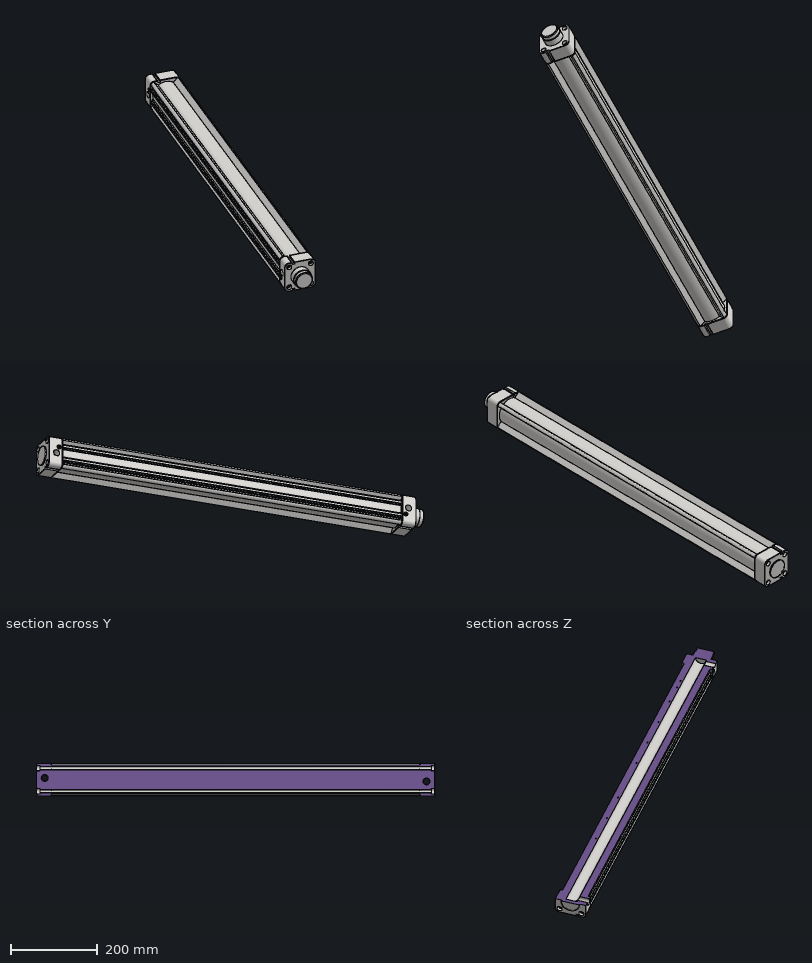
import cadquery as cq
import math

overall_length = 952.0
boss_height = 3.0
cap_length = 33.5
seal_length = 1.5
nose_length = 27.8

first_cap_start = boss_height
last_cap_end = overall_length - nose_length
cap_span = last_cap_end - first_cap_start
last_cap_start = last_cap_end - cap_length
first_cap_end = first_cap_start + cap_length
tube_start = first_cap_end + seal_length
tube_end = last_cap_start - seal_length

section_size = 76.0
half_section = section_size / 2
corner_radius = 10.8
cap_chamfer = 0.8
corner_center = half_section - corner_radius

barrel_radius = 32.0
post_tip_offset = 30.1
flank_foot_offset = 18.6

rail_centre = 15.8
rail_lip_width = 5.8
rail_lip_offset = 37.3
rail_shoulder_width = 11.6
rail_shoulder_offset = 34.0
rail_root_offset = 25.0

seal_inset = 1.0

notch_inner_wall = -13.2
notch_width = 5.4
notch_depth = 5.0
notch_chamfer = 2.4

screw_offset = 26.7
screw_diameter = 6.6
screw_head_diameter = 12.0
screw_head_depth = 8.0

port_diameter = 15.0
port_from_cap_end = 19.2
port_height = 4.0
cushion_diameter = 9.0
cushion_depth = 3.0
cushion_socket_diameter = 4.5
cushion_socket_depth = 6.0
cushion_from_cap_end = 25.5
cushion_height = 12.0

bore_diameter = 26.0
bore_end_wall = 8.0

boss_diameter = 45.0
collar_length = 17.0
collar_chamfer = 1.0
nose_diameter = 42.4
nose_chamfer = 2.0


def section_plane(x):
    """Sketch plane at the given X whose local axes are Y and Z."""
    return cq.Workplane("YZ", origin=(x, 0, 0))


def rounded_block(x_start, length, size, radius):
    block = section_plane(x_start).rect(size, size).extrude(length)
    return block.edges("|X").fillet(radius)


def flank_groove():
    """Full-length V-flanked groove above the barrel on the +Z side."""
    tip_height = corner_center + math.sqrt(corner_radius**2 - (post_tip_offset - corner_center) ** 2)
    foot_height = tip_height - (post_tip_offset - flank_foot_offset)
    mouth_offset = post_tip_offset + half_section - tip_height
    return (
        section_plane(tube_start)
        .moveTo(-mouth_offset, half_section)
        .lineTo(-flank_foot_offset, foot_height)
        .lineTo(flank_foot_offset, foot_height)
        .lineTo(mouth_offset, half_section)
        .close()
        .extrude(tube_end - tube_start)
    )


def rail_bar(height, width, face_offset):
    """Rectangular bar along the tube whose front face lies face_offset from the axis."""
    depth = face_offset - rail_root_offset
    bar_center = -(face_offset + rail_root_offset) / 2
    bar = section_plane(tube_start).center(bar_center, height).rect(depth, width)
    return bar.extrude(tube_end - tube_start)


def sensor_rail(height):
    """Stepped rail: a wide shoulder carrying a narrower flat lip toward -Y."""
    shoulder = rail_bar(height, rail_shoulder_width, rail_shoulder_offset)
    lip = rail_bar(height, rail_lip_width, rail_lip_offset)
    return shoulder.union(lip)


def profiled_tube():
    length = tube_end - tube_start
    tube = rounded_block(tube_start, length, section_size, corner_radius)
    groove = flank_groove()
    for quarter_turn in range(4):
        tube = tube.cut(groove.rotate((0, 0, 0), (1, 0, 0), 90 * quarter_turn))
    tube = tube.union(section_plane(tube_start).circle(barrel_radius).extrude(length))
    for side in (-1, 1):
        tube = tube.union(sensor_rail(side * rail_centre))
    return tube


def seal(x_start):
    return rounded_block(x_start, seal_length, section_size - 2 * seal_inset, corner_radius - seal_inset)


def cable_notch(side):
    """Flat-floored notch through both caps, chamfered along the edge nearer the front."""
    outer_wall = notch_inner_wall - notch_width
    floor = side * (half_section - notch_depth)
    mouth = side * half_section
    return (
        section_plane(first_cap_start)
        .moveTo(notch_inner_wall, mouth)
        .lineTo(notch_inner_wall, floor)
        .lineTo(outer_wall, floor)
        .lineTo(outer_wall, mouth - side * notch_chamfer)
        .lineTo(outer_wall - notch_chamfer, mouth)
        .close()
        .extrude(cap_span)
    )


def front_bore(x, height, diameter, depth):
    """Blind bore running from the -Y face toward +Y."""
    start = cq.Vector(x, -half_section, height)
    return cq.Workplane(cq.Solid.makeCylinder(diameter / 2, depth, start, cq.Vector(0, 1, 0)))


def central_bore():
    bore_length = cap_span - 2 * bore_end_wall
    return section_plane(first_cap_start + bore_end_wall).circle(bore_diameter / 2).extrude(bore_length)


def cut_front_bores(body):
    for outer_face, inward in ((first_cap_start, 1), (last_cap_end, -1)):
        port_x = outer_face + inward * port_from_cap_end
        cushion_x = outer_face + inward * cushion_from_cap_end
        body = body.cut(front_bore(port_x, -inward * port_height, port_diameter, half_section))
        cushion_z = inward * cushion_height
        body = body.cut(front_bore(cushion_x, cushion_z, cushion_diameter, cushion_depth))
        body = body.cut(front_bore(cushion_x, cushion_z, cushion_socket_diameter, cushion_socket_depth))
    return body


def cut_screw_holes(body):
    pitch = 2 * screw_offset
    holes = section_plane(first_cap_start).rect(pitch, pitch, forConstruction=True).vertices()
    body = body.cut(holes.circle(screw_diameter / 2).extrude(cap_span))
    for head_start in (first_cap_start, last_cap_end - screw_head_depth):
        heads = section_plane(head_start).rect(pitch, pitch, forConstruction=True).vertices()
        body = body.cut(heads.circle(screw_head_diameter / 2).extrude(screw_head_depth))
    return body


def end_bosses():
    rear_boss = section_plane(0).circle(boss_diameter / 2).extrude(boss_height)
    collar = section_plane(last_cap_end).circle(boss_diameter / 2).extrude(collar_length)
    collar = collar.faces(">X").chamfer(collar_chamfer)
    nose = section_plane(last_cap_end).circle(nose_diameter / 2).extrude(nose_length)
    nose = nose.faces(">X").chamfer(nose_chamfer)
    return rear_boss.union(collar.union(nose))


def cylinder_body():
    body = profiled_tube()
    for x_start, outer_face in ((first_cap_start, "<X"), (last_cap_start, ">X")):
        cap = rounded_block(x_start, cap_length, section_size, corner_radius)
        body = body.union(cap.faces(outer_face).chamfer(cap_chamfer))
    for x_start in (first_cap_end, tube_end):
        body = body.union(seal(x_start))
    for side in (-1, 1):
        body = body.cut(cable_notch(side))
    body = cut_screw_holes(body)
    body = body.cut(central_bore())
    body = cut_front_bores(body)
    return body.union(end_bosses())


result = cylinder_body()